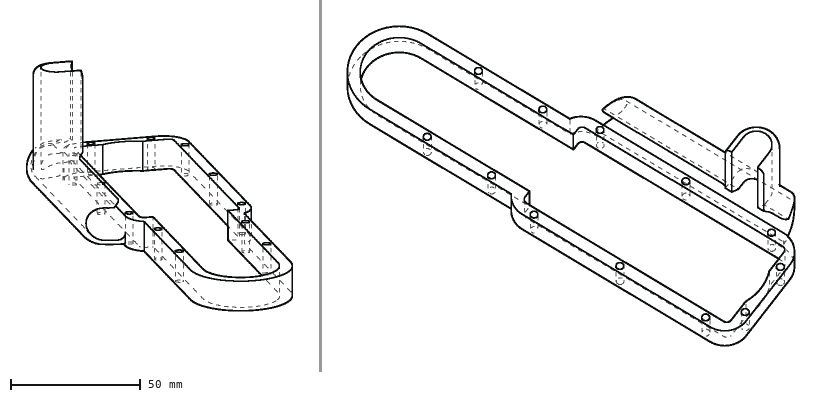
import cadquery as cq
import math

FRAME_HEIGHT = 12.0
WALL = 5.0
WIDE_LENGTH = 107.5
WIDE_HALF_WIDTH = 25.0
WIDE_CORNER_RADIUS = 10.0
WIDE_OPENING_END_X = 101.0
OPENING_CORNER_RADIUS = 2.0
NARROW_RADIUS = 20.0
TOTAL_LENGTH = 192.0
NARROW_ARC_X = TOTAL_LENGTH - NARROW_RADIUS
NARROW_OPENING_RADIUS = NARROW_RADIUS - WALL

RELIEF_DEPTH = 1.6
RELIEF_HALF_WIDTH = 8.0

HOLE_DIAMETER = 3.0
WIDE_HOLE_PITCH = 40.0
END_HOLE_HALF_SPACING = 12.0
NARROW_HOLE_XS = (117.0, 147.0)

DUCT_RADIUS = 9.0
TUBE_WALL = 2.5
TUBE_BORE_RADIUS = DUCT_RADIUS - TUBE_WALL
RISER_WALL = 3.0
RISER_BORE_RADIUS = DUCT_RADIUS - RISER_WALL
DUCT_BACK_Y = -WIDE_HALF_WIDTH
DUCT_AXIS_Y = DUCT_BACK_Y - 8.0
DUCT_FRONT_Y = DUCT_AXIS_Y - DUCT_RADIUS
TUBE_START_X = WIDE_CORNER_RADIUS
TUBE_END_X = WIDE_LENGTH - WIDE_CORNER_RADIUS
TUBE_END_RADIUS = 33.0
TUBE_END_ARC_Y = DUCT_BACK_Y + 2.5
RISER_X = 28.0
RISER_TOP_Z = 52.0
OUTER_FILLET = 3.0
FLOOR_FILLET = 3.0
LIP_TOP_Z = 20.0


def build_frame():
    """Closed wall following the wide and the narrow bay."""
    wide = (
        cq.Workplane("XY")
        .box(WIDE_LENGTH, 2 * WIDE_HALF_WIDTH, FRAME_HEIGHT, centered=(False, True, False))
        .edges("|Z")
        .fillet(WIDE_CORNER_RADIUS)
    )
    wide_opening = (
        cq.Workplane("XY")
        .box(
            WIDE_OPENING_END_X - WALL,
            2 * (WIDE_HALF_WIDTH - WALL),
            FRAME_HEIGHT,
            centered=(False, True, False),
        )
        .edges("|Z")
        .fillet(OPENING_CORNER_RADIUS)
        .translate((WALL, 0, 0))
    )
    overlap_x = WIDE_LENGTH / 2
    narrow = round_ended_bar(overlap_x, NARROW_RADIUS)
    narrow_opening = round_ended_bar(overlap_x, NARROW_OPENING_RADIUS)
    relief = (
        cq.Workplane("XY")
        .moveTo(WALL, -RELIEF_HALF_WIDTH)
        .threePointArc((WALL - RELIEF_DEPTH, 0), (WALL, RELIEF_HALF_WIDTH))
        .close()
        .extrude(FRAME_HEIGHT)
    )
    return wide.union(narrow).cut(wide_opening).cut(narrow_opening).cut(relief)


def round_ended_bar(start_x, radius):
    """Bar along X with a semicircular far end around the narrow bay's arc centre."""
    return (
        cq.Workplane("XY")
        .moveTo(start_x, -radius)
        .lineTo(NARROW_ARC_X, -radius)
        .threePointArc((NARROW_ARC_X + radius, 0), (NARROW_ARC_X, radius))
        .lineTo(start_x, radius)
        .close()
        .extrude(FRAME_HEIGHT)
    )


def hole_cutter():
    """All screw holes of the frame."""
    inset = WALL / 2
    wide_y = WIDE_HALF_WIDTH - inset
    narrow_y = NARROW_RADIUS - inset
    middle_x = WIDE_LENGTH / 2
    points = []
    for side in (-1, 1):
        for step in (-1, 0, 1):
            points.append((middle_x + step * WIDE_HOLE_PITCH, side * wide_y))
        for x in NARROW_HOLE_XS:
            points.append((x, side * narrow_y))
        points.append((inset, side * END_HOLE_HALF_SPACING))
    return cq.Workplane("XY").pushPoints(points).circle(HOLE_DIAMETER / 2).extrude(FRAME_HEIGHT)


def tube_section(radius):
    """U-section in the YZ plane, round at the front and open at the back."""
    return (
        cq.Workplane("YZ")
        .moveTo(DUCT_BACK_Y, DUCT_RADIUS - radius)
        .lineTo(DUCT_AXIS_Y, DUCT_RADIUS - radius)
        .threePointArc((DUCT_AXIS_Y - radius, DUCT_RADIUS), (DUCT_AXIS_Y, DUCT_RADIUS + radius))
        .lineTo(DUCT_BACK_Y, DUCT_RADIUS + radius)
        .close()
    )


def riser_bar(radius, base_z):
    """Vertical bar with a U-section, round at the front."""
    return (
        cq.Workplane("XY", origin=(RISER_X, 0, base_z))
        .moveTo(radius, DUCT_BACK_Y)
        .lineTo(radius, DUCT_AXIS_Y)
        .threePointArc((0, DUCT_AXIS_Y - radius), (-radius, DUCT_AXIS_Y))
        .lineTo(-radius, DUCT_BACK_Y)
        .close()
        .extrude(RISER_TOP_Z - base_z)
    )


def end_inset(y):
    """Inward shift of a curved tube end at y, zero where it meets the frame."""
    at_y = math.sqrt(TUBE_END_RADIUS**2 - (TUBE_END_ARC_Y - y) ** 2)
    at_back = math.sqrt(TUBE_END_RADIUS**2 - (TUBE_END_ARC_Y - DUCT_BACK_Y) ** 2)
    return at_back - at_y


def build_tube():
    """Solid tube with curved, rounded ends."""
    middle_y = (DUCT_BACK_Y + DUCT_FRONT_Y) / 2
    middle_inset = end_inset(middle_y)
    front_inset = end_inset(DUCT_FRONT_Y)
    plan = (
        cq.Workplane("XY")
        .moveTo(TUBE_START_X, DUCT_BACK_Y)
        .lineTo(TUBE_END_X, DUCT_BACK_Y)
        .threePointArc((TUBE_END_X - middle_inset, middle_y), (TUBE_END_X - front_inset, DUCT_FRONT_Y))
        .lineTo(TUBE_START_X + front_inset, DUCT_FRONT_Y)
        .threePointArc((TUBE_START_X + middle_inset, middle_y), (TUBE_START_X, DUCT_BACK_Y))
        .close()
        .extrude(2 * DUCT_RADIUS)
    )
    tube = tube_section(DUCT_RADIUS).extrude(WIDE_LENGTH).intersect(plan)
    margin = 1.0
    in_front_of_back = cq.selectors.BoxSelector(
        (0, DUCT_FRONT_Y - margin, -margin),
        (WIDE_LENGTH, DUCT_BACK_Y - margin, 2 * DUCT_RADIUS + margin),
    )
    end_edges = tube.faces("<X or >X").edges(in_front_of_back)
    return end_edges.fillet(OUTER_FILLET)


def build_riser():
    """Solid riser with a rounded top rim."""
    riser = riser_bar(DUCT_RADIUS, DUCT_RADIUS)
    return riser.faces(">Z").edges("not >Y").fillet(OUTER_FILLET)


def fillet_junction(duct):
    """Blend the riser's sides into the top of the tube."""
    margin = 0.1
    junction = cq.selectors.BoxSelector(
        (RISER_X - DUCT_RADIUS - margin, DUCT_FRONT_Y + margin, DUCT_RADIUS - margin),
        (RISER_X + DUCT_RADIUS + margin, DUCT_BACK_Y - margin, 2 * DUCT_RADIUS + margin),
    )
    return duct.edges(junction).fillet(OUTER_FILLET)


def tube_bore():
    """Bore along X: open at the back, with a filleted floor and a 45 degree roof lip."""
    bottom_z = DUCT_RADIUS - TUBE_BORE_RADIUS
    top_z = DUCT_RADIUS + TUBE_BORE_RADIUS
    lip_y = DUCT_BACK_Y - (LIP_TOP_Z - top_z)
    arc_offset = FLOOR_FILLET * (1 - math.sqrt(0.5))
    return (
        cq.Workplane("YZ")
        .moveTo(DUCT_BACK_Y, bottom_z + FLOOR_FILLET)
        .threePointArc(
            (DUCT_BACK_Y - arc_offset, bottom_z + arc_offset),
            (DUCT_BACK_Y - FLOOR_FILLET, bottom_z),
        )
        .lineTo(DUCT_AXIS_Y, bottom_z)
        .threePointArc((DUCT_AXIS_Y - TUBE_BORE_RADIUS, DUCT_RADIUS), (DUCT_AXIS_Y, top_z))
        .lineTo(lip_y, top_z)
        .lineTo(DUCT_BACK_Y, LIP_TOP_Z)
        .close()
        .extrude(WIDE_LENGTH)
    )


def build_duct():
    """Hollow tube and riser, open towards the frame."""
    solid_duct = fillet_junction(build_tube().union(build_riser()))
    return solid_duct.cut(tube_bore()).cut(riser_bar(RISER_BORE_RADIUS, DUCT_RADIUS))


result = build_frame().cut(hole_cutter()).union(build_duct())